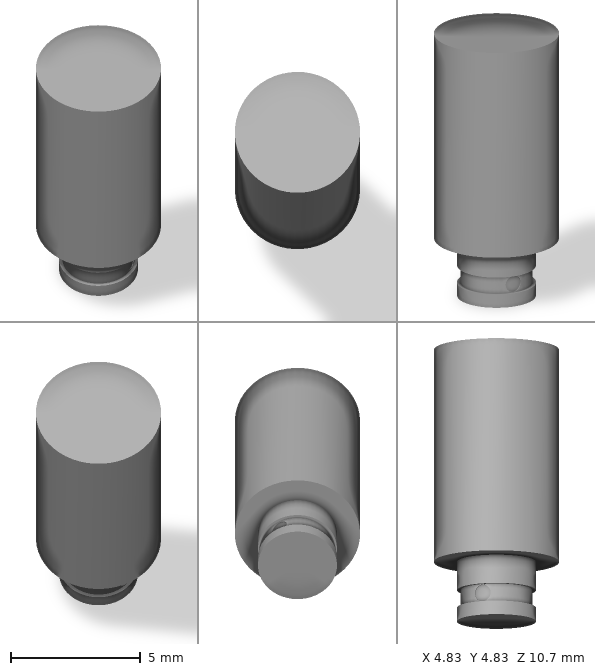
import cadquery as cq

total_height = 10.67
body_diameter = 4.83
neck_diameter = 3.05
groove_diameter = 2.8
shoulder_height = 2.34
groove_bottom = 0.53
groove_top = 1.23
dimple_diameter = 0.65
dimple_floor_diameter = 2.71

groove_middle = (groove_bottom + groove_top) / 2


def cylinder(diameter, bottom, top):
    """Upright cylinder on the Z axis between two heights."""
    return cq.Workplane("XY").workplane(offset=bottom).circle(diameter / 2).extrude(top - bottom)


def dimple_cutter():
    """Round bar along X through the groove, with the core inside the dimple floors left out."""
    bar = (
        cq.Workplane("YZ", origin=(0, 0, groove_middle))
        .circle(dimple_diameter / 2)
        .extrude(groove_diameter / 2, both=True)
    )
    return bar.cut(cylinder(dimple_floor_diameter, groove_bottom, groove_top))


body = cylinder(body_diameter, shoulder_height, total_height)
neck = cylinder(neck_diameter, 0, shoulder_height)
result = body.union(neck)

groove = (
    cylinder(neck_diameter, groove_bottom, groove_top)
    .cut(cylinder(groove_diameter, groove_bottom, groove_top))
)
result = result.cut(groove)

result = result.cut(dimple_cutter())